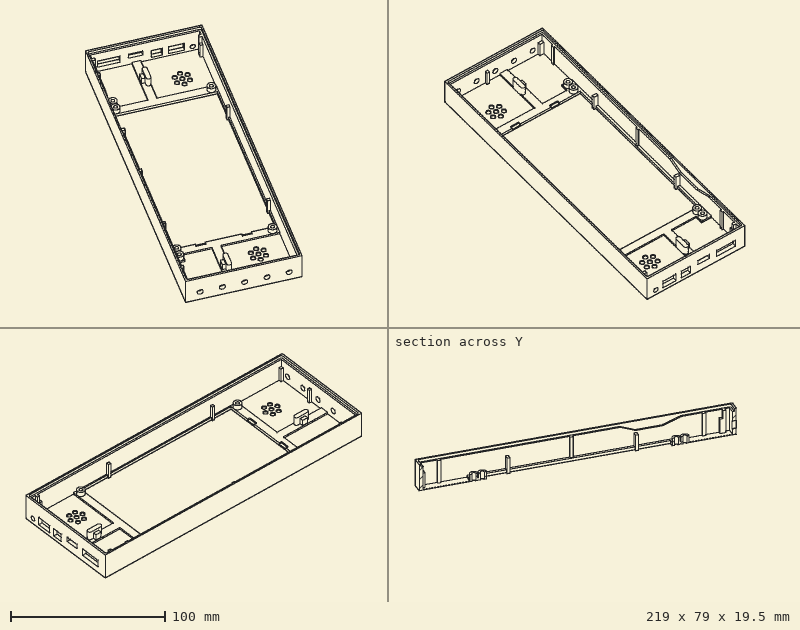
import cadquery as cq
import math

LENGTH, WIDTH, HEIGHT = 219.0, 79.0, 19.5
END_WALL = 2.8
SIDE_WALL = 2.5
LIP_END = 1.5
LIP_SIDE = 1.0
LIP_HEIGHT = 2.0
LIP_CORNER_RADIUS = 1.0
INNER_X = LENGTH / 2 - END_WALL
INNER_Y = WIDTH / 2 - SIDE_WALL
LEDGE_Z = HEIGHT - LIP_HEIGHT

DIP_DEPTH = 4.4
DIP_TOP_X_MIN, DIP_TOP_X_MAX = -73.6, -31.3
DIP_FLOOR_X_MIN, DIP_FLOOR_X_MAX = -60.5, -41.8

PANEL_Z = 0.9
FRAME_Z = 2.2
BAY_CENTER_X = -1.0
OPENING_LENGTH = 128.0
OPENING_Y_MIN, OPENING_Y_MAX = -35.3, 36.2
FRAME_WIDTH = 6.0
CROSS_RIB_Y_MIN, CROSS_RIB_Y_MAX = -9.0, -2.8
OPENING_HALF = OPENING_LENGTH / 2
FRAME_HALF = OPENING_HALF + FRAME_WIDTH

NOTCH_DEPTH_X = 2.0
NOTCH_LENGTH = 6.5
NOTCH_FLOOR_Z = 1.0
NOTCH_CENTERS_Y = (16.5, -15.1)

BOSS_RADIUS = 2.8
BOSS_HOLE_RADIUS = 1.2
BOSS_TOP_Z = 5.7
BOSS_INSET = FRAME_WIDTH / 2
BOSS_TOP_Y = 33.0
BOSS_BOTTOM_Y = -32.0
BOSS_PITCH = 6.0
PAD_TOP_Y = BOSS_BOTTOM_Y + BOSS_PITCH / 2

GRILLE_RING_COUNT = 6
GRILLE_OFFSET_X = 83.3
GRILLE_Y = 18.5
GRILLE_PITCH = 5.0
GRILLE_HOLE_RADIUS = 1.65

CLIP_CENTERS_X = (-88.7, 87.9)
CLIP_LENGTH = 11.2
CLIP_DEPTH = 3.3
CLIP_TOP_Z = 8.5
CLIP_CORNER_RADIUS = 1.5
HEEL_LENGTH = 4.4
HEEL_TOP_Z = 6.5
HEEL_Y_MIN = -8.5

POST_SIZE = 2.0
FRONT_POST_DEPTH = 3.3
POST_TOP_Z = 11.6
SIDE_POSTS_X = (-41.6, 47.0)
CORNER_PAIR_X = -101.5
END_POST_Y = 7.9
LEDGE_RIB_LENGTH = 2.2
LEDGE_RIB_DEPTH = 1.0
LEDGE_RIBS_X = (-88.7, 2.6, 94.2)

CONNECTOR_WINDOWS = (
    (16.0, 26.7, 2.8, 9.0),
    (4.4, 11.8, 2.8, 9.0),
    (-11.2, -1.5, 6.8, 10.3),
    (-32.2, -16.9, 4.8, 10.3),
)
LED_Y, LED_Z, LED_RADIUS = 32.5, 4.4, 1.8

PORT_COUNT = 5
PORT_FIRST_Y = -29.5
PORT_PITCH = 15.1
PORT_Z = 6.8
PORT_RADIUS = 2.0


def block(x_min, x_max, y_min, y_max, z_min, z_max):
    """Box given by its limits along each axis."""
    size = (x_max - x_min, y_max - y_min, z_max - z_min)
    return cq.Workplane("XY").box(*size, centered=False).translate((x_min, y_min, z_min))


def cylinder(x, y, radius, z_min, z_max):
    """Upright cylinder."""
    return cq.Workplane("XY", origin=(x, y, z_min)).circle(radius).extrude(z_max - z_min)


def end_wall_hole(x_min, y, z, radius):
    """Round cutter running along X through one end wall."""
    return cq.Workplane("YZ", origin=(x_min, y, z)).circle(radius).extrude(END_WALL)


def shell():
    """Open box with a thin lip around its rim."""
    body = block(-LENGTH / 2, LENGTH / 2, -WIDTH / 2, WIDTH / 2, 0, HEIGHT)
    body = body.cut(block(-INNER_X, INNER_X, -INNER_Y, INNER_Y, PANEL_Z, HEIGHT))
    lip_x = LENGTH / 2 - LIP_END
    lip_y = WIDTH / 2 - LIP_SIDE
    rebate = block(-lip_x, lip_x, -lip_y, lip_y, LEDGE_Z, HEIGHT).edges("|Z").fillet(LIP_CORNER_RADIUS)
    return body.cut(rebate)


def ledge_dip():
    """Cutter for the dip in the -Y ledge, with a ramp down from each end."""
    outline = [
        (DIP_TOP_X_MIN, LEDGE_Z),
        (DIP_FLOOR_X_MIN, LEDGE_Z - DIP_DEPTH),
        (DIP_FLOOR_X_MAX, LEDGE_Z - DIP_DEPTH),
        (DIP_TOP_X_MAX, LEDGE_Z),
    ]
    profile = cq.Workplane("XZ", origin=(0, -INNER_Y, 0)).polyline(outline).close()
    return profile.extrude(SIDE_WALL - LIP_SIDE)


def floor_frame():
    """Raised frame around the opening, with a cross rib to each end."""
    frame = block(BAY_CENTER_X - FRAME_HALF, BAY_CENTER_X + FRAME_HALF, -INNER_Y, INNER_Y, 0, FRAME_Z)
    return frame.union(block(-INNER_X, INNER_X, CROSS_RIB_Y_MIN, CROSS_RIB_Y_MAX, 0, FRAME_Z))


def opening():
    """Cutter for the display opening and the notches on its +X side."""
    x_max = BAY_CENTER_X + OPENING_HALF
    cutter = block(BAY_CENTER_X - OPENING_HALF, x_max, OPENING_Y_MIN, OPENING_Y_MAX, 0, FRAME_Z)
    for y in NOTCH_CENTERS_Y:
        y_min = y - NOTCH_LENGTH / 2
        notch = block(x_max, x_max + NOTCH_DEPTH_X, y_min, y_min + NOTCH_LENGTH, NOTCH_FLOOR_Z, FRAME_Z)
        cutter = cutter.union(notch)
    return cutter


def boss_positions():
    """One boss at each +Y corner of the opening and two at each -Y corner."""
    positions = []
    for side in (-1, 1):
        x = BAY_CENTER_X + side * (OPENING_HALF + BOSS_INSET)
        positions.append((x, BOSS_TOP_Y))
        positions.append((x, BOSS_BOTTOM_Y))
        positions.append((x + side * BOSS_PITCH, BOSS_BOTTOM_Y))
    return positions


def boss_pads():
    """Raised floor pads under the outer bosses."""
    half = FRAME_HALF + BOSS_PITCH
    return block(BAY_CENTER_X - half, BAY_CENTER_X + half, -INNER_Y, PAD_TOP_Y, 0, FRAME_Z)


def grille(x):
    """Cutter for one speaker grille centred at x."""
    cutter = cylinder(x, GRILLE_Y, GRILLE_HOLE_RADIUS, 0, PANEL_Z)
    for step in range(GRILLE_RING_COUNT):
        angle = 2 * math.pi * step / GRILLE_RING_COUNT
        hole_x = x + GRILLE_PITCH * math.cos(angle)
        hole_y = GRILLE_Y + GRILLE_PITCH * math.sin(angle)
        cutter = cutter.union(cylinder(hole_x, hole_y, GRILLE_HOLE_RADIUS, 0, PANEL_Z))
    return cutter


def clip(x):
    """Upright plate with rounded ends and a lower heel on its -Y side."""
    y_max = CROSS_RIB_Y_MAX
    plate = block(x - CLIP_LENGTH / 2, x + CLIP_LENGTH / 2, y_max - CLIP_DEPTH, y_max, 0, CLIP_TOP_Z)
    plate = plate.edges("|Z").fillet(CLIP_CORNER_RADIUS)
    heel = block(x - HEEL_LENGTH / 2, x + HEEL_LENGTH / 2, HEEL_Y_MIN, y_max - CLIP_DEPTH, 0, HEEL_TOP_Z)
    return plate.union(heel)


def post(x_min, y_min, depth, top_z):
    """Upright post whose lower corner is at x_min, y_min and which is `depth` long in Y."""
    return block(x_min, x_min + POST_SIZE, y_min, y_min + depth, 0, top_z)


def wall_posts():
    """Posts along the side walls, in the corners and on the +X wall."""
    corner_x = INNER_X - POST_SIZE
    posts = post(corner_x, END_POST_Y - POST_SIZE / 2, POST_SIZE, POST_TOP_Z)

    single_posts_x = [x - POST_SIZE / 2 for x in SIDE_POSTS_X] + [corner_x]
    for x in single_posts_x:
        posts = posts.union(post(x, -INNER_Y, FRONT_POST_DEPTH, POST_TOP_Z))
        posts = posts.union(post(x, INNER_Y - POST_SIZE, POST_SIZE, POST_TOP_Z))

    for y_min in (-INNER_Y, INNER_Y - POST_SIZE):
        posts = posts.union(post(CORNER_PAIR_X - POST_SIZE, y_min, POST_SIZE, LEDGE_Z))
        posts = posts.union(post(CORNER_PAIR_X, y_min, POST_SIZE, POST_TOP_Z))
    return posts


def ledge_rib(x):
    """Shallow rib on the -Y wall, level with the ledge."""
    half = LEDGE_RIB_LENGTH / 2
    return block(x - half, x + half, -INNER_Y, -INNER_Y + LEDGE_RIB_DEPTH, 0, LEDGE_Z)


result = shell().cut(ledge_dip()).union(floor_frame()).union(boss_pads()).cut(opening())
result = result.union(wall_posts())

for x in LEDGE_RIBS_X:
    result = result.union(ledge_rib(x))

for x in CLIP_CENTERS_X:
    result = result.union(clip(x))

for x, y in boss_positions():
    result = result.union(cylinder(x, y, BOSS_RADIUS, 0, BOSS_TOP_Z))
    result = result.cut(cylinder(x, y, BOSS_HOLE_RADIUS, 0, BOSS_TOP_Z))

for side in (-1, 1):
    result = result.cut(grille(BAY_CENTER_X + side * GRILLE_OFFSET_X))

for y_min, y_max, z_min, z_max in CONNECTOR_WINDOWS:
    result = result.cut(block(-LENGTH / 2, -INNER_X, y_min, y_max, z_min, z_max))
result = result.cut(end_wall_hole(-LENGTH / 2, LED_Y, LED_Z, LED_RADIUS))

for index in range(PORT_COUNT):
    port_y = PORT_FIRST_Y + index * PORT_PITCH
    result = result.cut(end_wall_hole(INNER_X, port_y, PORT_Z, PORT_RADIUS))